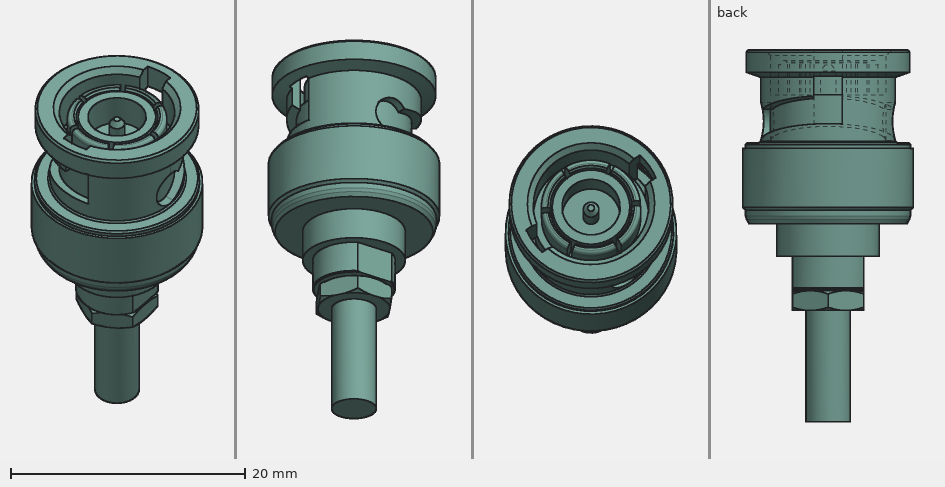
import cadquery as cq
import math

TOTAL_HEIGHT = 31.75

CABLE_RADIUS = 1.9
ACROSS_FLATS = 6.1
NUT_BOTTOM = 9.52
NUT_TOP = 11.18
NUT_CHAMFER_RADIUS = 3.08
NUT_CHAMFER_HEIGHT = 0.25
FLATTED_BOTTOM = 11.35
FLATTED_TOP = 14.13
FLATTED_RADIUS = 3.52
FLATTED_CHAMFER = 0.1
SLEEVE_RADIUS = 4.38

COLLAR_BOTTOM = 16.9
COLLAR_TOP = 23.8
GRIP_BOTTOM = 18.32
GRIP_TOP = 23.35
GRIP_RADIUS = 7.3
LIP_RADIUS = 7.05
LIP_CHAMFER = 0.15
GRIP_CHAMFER = 0.25
REAR_BEVEL_TOP = 17.6
REAR_BEVEL_MIDDLE = 17.27
REAR_BEVEL_MIDDLE_RADIUS = 6.95
REAR_END_RADIUS = 6.73

NECK_RADIUS = 5.75
NECK_FLARE = 0.15
BORE_RADIUS = 4.92
BORE_MOUTH_RADIUS = 5.43
BORE_MOUTH_DEPTH = 0.48
FLANGE_RADIUS = 7.0
FLANGE_BOTTOM = 29.4
FLANGE_RIM_BOTTOM = 29.85
FLANGE_EDGE = 0.2

NOTCH_WIDTH = 2.4
NOTCH_RADIUS = 6.0
NOTCH_FLOOR = 25.43
LOCK_HOLE_DIAMETER = 3.27
LOCK_HOLE_RADIUS = LOCK_HOLE_DIAMETER / 2
LOCK_HOLE_Z = 25.65
TRACK_WIDTH = 2.32
TRACK_SLOPE = 14.5

CORE_TOP = 27.9
CONTACT_TOP = 30.85
CONTACT_RADIUS = 4.25
CONTACT_BORE = 3.5
CONTACT_ROUND = 0.38
CONTACT_INNER_CHAMFER = 0.2
FINGER_COUNT = 6
FINGER_GAP = 0.45
INSULATOR_TOP = 30.73
INSULATOR_RADIUS = 3.3
INSULATOR_BORE = 2.48
PIN_TOP = 30.48
PIN_RADIUS = 0.67
PIN_TIP_RADIUS = 0.3
PIN_TIP_LENGTH = 0.5


def cylinder(radius, bottom, top):
    return cq.Workplane("XY").workplane(offset=bottom).circle(radius).extrude(top - bottom)


def tube(outer, inner, bottom, top):
    return cylinder(outer, bottom, top).cut(cylinder(inner, bottom, top))


def revolved(points):
    """Turn an outline of (radius, Z) points about the Z axis."""
    return cq.Workplane("XZ").polyline(points).close().revolve(360, (0, 0, 0), (0, 1, 0))


def make_nut():
    corner_radius = ACROSS_FLATS / 2 / math.cos(math.radians(30))
    nut = (
        cq.Workplane("XY").workplane(offset=NUT_BOTTOM)
        .transformed(rotate=(0, 0, 30))
        .polygon(6, 2 * corner_radius)
        .extrude(NUT_TOP - NUT_BOTTOM)
    )
    envelope = revolved([
        (0, NUT_BOTTOM),
        (NUT_CHAMFER_RADIUS, NUT_BOTTOM),
        (corner_radius, NUT_BOTTOM + NUT_CHAMFER_HEIGHT),
        (corner_radius, NUT_TOP - NUT_CHAMFER_HEIGHT),
        (NUT_CHAMFER_RADIUS, NUT_TOP),
        (0, NUT_TOP),
    ])
    return nut.intersect(envelope)


def make_rear_body():
    flatted = cylinder(FLATTED_RADIUS, FLATTED_BOTTOM, FLATTED_TOP).faces("<Z").chamfer(FLATTED_CHAMFER)
    flats = cq.Workplane("XY").box(ACROSS_FLATS, 2 * FLATTED_RADIUS, 2 * TOTAL_HEIGHT)
    cable = cylinder(CABLE_RADIUS, 0, FLATTED_TOP)
    sleeve = cylinder(SLEEVE_RADIUS, FLATTED_TOP, COLLAR_BOTTOM)
    return cable.union(make_nut()).union(flatted.intersect(flats)).union(sleeve)


def make_collar():
    return revolved([
        (0, COLLAR_BOTTOM),
        (REAR_END_RADIUS, COLLAR_BOTTOM),
        (REAR_BEVEL_MIDDLE_RADIUS, REAR_BEVEL_MIDDLE),
        (LIP_RADIUS, REAR_BEVEL_TOP),
        (LIP_RADIUS, GRIP_BOTTOM - GRIP_CHAMFER),
        (GRIP_RADIUS, GRIP_BOTTOM),
        (GRIP_RADIUS, GRIP_TOP),
        (LIP_RADIUS, GRIP_TOP),
        (LIP_RADIUS, COLLAR_TOP - LIP_CHAMFER),
        (LIP_RADIUS - LIP_CHAMFER, COLLAR_TOP),
        (0, COLLAR_TOP),
    ])


def make_track():
    """Bayonet track on the -Y side, running down to the locking hole at -X."""
    notch = tube(NOTCH_RADIUS, BORE_RADIUS, NOTCH_FLOOR, TOTAL_HEIGHT).intersect(
        cq.Workplane("XY").box(NOTCH_WIDTH, NOTCH_RADIUS, 2 * TOTAL_HEIGHT, centered=(True, False, True))
        .translate((0, -NOTCH_RADIUS, 0))
    )
    reach = GRIP_RADIUS
    hole = (
        cq.Workplane("YZ").center(0, LOCK_HOLE_Z)
        .circle(LOCK_HOLE_RADIUS)
        .extrude(-reach)
    )
    slope = (
        cq.Workplane("XY")
        .box(reach + NOTCH_WIDTH / 2, reach, TRACK_WIDTH, centered=False)
        .translate((-reach, -reach, LOCK_HOLE_Z - LOCK_HOLE_RADIUS))
        .rotate((0, 0, LOCK_HOLE_Z), (1, 0, LOCK_HOLE_Z), -TRACK_SLOPE)
    )
    return notch.union(hole).union(slope)


def make_bayonet_ring():
    ring = revolved([
        (BORE_RADIUS, COLLAR_TOP),
        (NECK_RADIUS + NECK_FLARE, COLLAR_TOP),
        (NECK_RADIUS, COLLAR_TOP + NECK_FLARE),
        (NECK_RADIUS, FLANGE_BOTTOM),
        (FLANGE_RADIUS, FLANGE_RIM_BOTTOM),
        (FLANGE_RADIUS, TOTAL_HEIGHT - FLANGE_EDGE),
        (FLANGE_RADIUS - FLANGE_EDGE, TOTAL_HEIGHT),
        (BORE_MOUTH_RADIUS, TOTAL_HEIGHT),
        (BORE_RADIUS, TOTAL_HEIGHT - BORE_MOUTH_DEPTH),
    ])
    track = make_track()
    for angle in (0, 180):
        ring = ring.cut(track.rotate((0, 0, 0), (0, 0, 1), angle))
    return ring


def make_contact_fingers():
    contact = tube(CONTACT_RADIUS, CONTACT_BORE, CORE_TOP, CONTACT_TOP)
    contact = contact.faces(">Z").edges(cq.selectors.RadiusNthSelector(1)).fillet(CONTACT_ROUND)
    contact = contact.faces(">Z").edges(cq.selectors.RadiusNthSelector(0)).chamfer(CONTACT_INNER_CHAMFER)
    gap = (
        cq.Workplane("XY").workplane(offset=CORE_TOP)
        .rect(2 * CONTACT_RADIUS, FINGER_GAP)
        .extrude(CONTACT_TOP - CORE_TOP)
    )
    for index in range(FINGER_COUNT // 2):
        contact = contact.cut(gap.rotate((0, 0, 0), (0, 0, 1), index * 360 / FINGER_COUNT))
    return contact


def make_front_interface():
    core = cylinder(BORE_RADIUS, COLLAR_TOP, CORE_TOP)
    insulator = tube(INSULATOR_RADIUS, INSULATOR_BORE, CORE_TOP, INSULATOR_TOP)
    pin = revolved([
        (0, CORE_TOP),
        (PIN_RADIUS, CORE_TOP),
        (PIN_RADIUS, PIN_TOP - PIN_TIP_LENGTH),
        (PIN_TIP_RADIUS, PIN_TOP),
        (0, PIN_TOP),
    ])
    return core.union(make_contact_fingers()).union(insulator).union(pin)


result = (
    make_rear_body()
    .union(make_collar())
    .union(make_front_interface())
    .union(make_bayonet_ring())
)